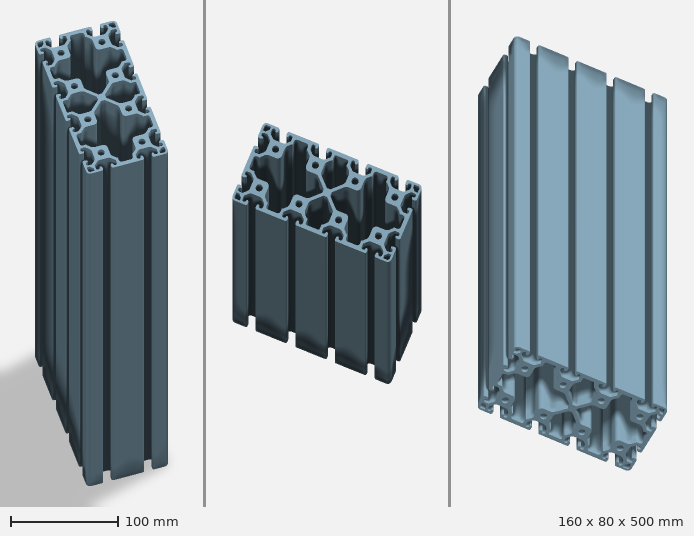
import cadquery as cq
import math

MODULE = 40.0
COLUMNS = 4
ROWS = 2
LENGTH = 500.0
WIDTH = COLUMNS * MODULE
DEPTH = ROWS * MODULE
HALF_MODULE = MODULE / 2
CORNER_RADIUS = 4.0

CORE_HALF = 7.75
CORE_BORE = 6.7
CORE_RADIUS = 4.0

SLOT_WEB_THICKNESS = 3.0
SLOT_WEB_SHIFT = SLOT_WEB_THICKNESS / math.sqrt(2)
NODE_WEB_THICKNESS = 3.1
NODE_WEB_SHIFT = NODE_WEB_THICKNESS / math.sqrt(2)
WEB_ROOT_RADIUS = 5.0
NODE_HALF = 4.0

SLOT_HALF = 4.1
SLOT_EDGE_RADIUS = 1.5
SLOT_FLOOR = HALF_MODULE - CORE_HALF
UNDERCUT_HALF = 10.3
FLOOR_RADIUS = 4.5
LIP_TIP = 5.0
LIP_TIP_CHAMFER = 1.0
LIP_HOOK_HALF = 6.5
LIP_ROOT = 2.4

SLOT_WALL = 2.7
OUTER_WALL = 4.0
THROAT_HALF = HALF_MODULE - CORE_HALF
END_CHAMBER_RADIUS = 2.7
SIDE_CHAMBER_RADIUS = 1.3
CHAMBER_STEP = 9.9

CORNER_WALL = 2.0
CORNER_HOLLOW_END = 7.9
CORNER_HOLLOW_RADIUS = 2.0
CORNER_HOLLOW_CHAMFER = 3.0

SELECTION_TOLERANCE = 0.1


def mirrored_prism(half_points):
    """Prism along Z, symmetric about X = 0, from the points of its +X half outline."""
    left_half = [(-x, y) for x, y in reversed(half_points)]
    return cq.Workplane("XY").polyline(half_points + left_half).close().extrude(LENGTH)


def near(x, y):
    """Selector for an edge along Z that passes through (x, y)."""
    reach = SELECTION_TOLERANCE
    return cq.selectors.BoxSelector((x - reach, y - reach, 0), (x + reach, y + reach, LENGTH))


def module_positions(count):
    """Module centres along one axis, symmetric about the origin."""
    return [(index - (count - 1) / 2) * MODULE for index in range(count)]


def slot_cutter():
    """T-slot whose mouth lies on Y = 0 and whose floor lies at negative Y."""
    diagonal_sum = HALF_MODULE - SLOT_WEB_SHIFT
    hook_middle = (LIP_HOOK_HALF + UNDERCUT_HALF) / 2
    hook_radius = (UNDERCUT_HALF - LIP_HOOK_HALF) / 2
    spring = LIP_ROOT + hook_radius
    outline = (
        cq.Workplane("XY")
        .lineTo(SLOT_HALF + SLOT_EDGE_RADIUS, 0)
        .radiusArc((SLOT_HALF, -SLOT_EDGE_RADIUS), -SLOT_EDGE_RADIUS)
        .lineTo(SLOT_HALF, LIP_TIP_CHAMFER - LIP_TIP)
        .lineTo(SLOT_HALF + LIP_TIP_CHAMFER, -LIP_TIP)
        .lineTo(LIP_HOOK_HALF, -LIP_TIP)
        .lineTo(LIP_HOOK_HALF, -spring)
        .threePointArc((hook_middle, -LIP_ROOT), (UNDERCUT_HALF, -spring))
        .lineTo(UNDERCUT_HALF, UNDERCUT_HALF - diagonal_sum)
        .lineTo(diagonal_sum - SLOT_FLOOR, -SLOT_FLOOR)
        .lineTo(0, -SLOT_FLOOR)
        .close()
    )
    half = outline.extrude(LENGTH)
    floor_corner = near(diagonal_sum - SLOT_FLOOR, -SLOT_FLOOR)
    half = half.edges("|Z").edges(floor_corner).fillet(FLOOR_RADIUS)
    return half.union(half.mirror("YZ"))


def wall_bay(reach, mouth_radius):
    """Chamber arm from an outer wall on Y = 0 inwards to Y = -reach, between two slots."""
    mouth_half = HALF_MODULE - UNDERCUT_HALF - SLOT_WALL
    step_half = CHAMBER_STEP - SLOT_WEB_SHIFT
    bay = mirrored_prism(
        [
            (mouth_half, -OUTER_WALL),
            (mouth_half, -CHAMBER_STEP),
            (step_half, -CHAMBER_STEP),
            (THROAT_HALF, -THROAT_HALF - SLOT_WEB_SHIFT),
            (THROAT_HALF, -reach),
        ]
    )
    for x in (-THROAT_HALF, THROAT_HALF):
        root = near(x, -THROAT_HALF - SLOT_WEB_SHIFT)
        bay = bay.edges("|Z").edges(root).fillet(WEB_ROOT_RADIUS)
    return bay.edges("|Z").edges(">Y").fillet(mouth_radius)


def node_bay(start):
    """Chamber arm from Y = start down to the node at the origin, between two diagonal webs."""
    bay = mirrored_prism(
        [
            (THROAT_HALF, start),
            (THROAT_HALF, THROAT_HALF + NODE_WEB_SHIFT),
            (NODE_HALF - NODE_WEB_SHIFT, NODE_HALF),
        ]
    )
    for x in (-THROAT_HALF, THROAT_HALF):
        root = near(x, THROAT_HALF + NODE_WEB_SHIFT)
        bay = bay.edges("|Z").edges(root).fillet(WEB_ROOT_RADIUS)
    return bay


def turned(body, angle):
    """Body turned about the Z axis by an angle in degrees."""
    return body.rotate((0, 0, 0), (0, 0, 1), angle)


def long_side_chamber():
    """Small chamber between the node and the middle of the +Y face."""
    outer_half = wall_bay(HALF_MODULE, SIDE_CHAMBER_RADIUS).translate((0, DEPTH / 2, 0))
    return outer_half.union(node_bay(HALF_MODULE))


def end_chamber():
    """Cross-shaped chamber at the -X end, centred between four cores."""
    middle_x = MODULE - WIDTH / 2
    bay = wall_bay(MODULE, END_CHAMBER_RADIUS)
    chamber = turned(node_bay(MODULE), 90)
    chamber = chamber.union(bay.translate((middle_x, DEPTH / 2, 0)))
    chamber = chamber.union(turned(bay, 180).translate((middle_x, -DEPTH / 2, 0)))
    chamber = chamber.union(turned(bay, 90).translate((-WIDTH / 2, 0, 0)))
    for x in (middle_x - THROAT_HALF, middle_x + THROAT_HALF):
        for y in (-THROAT_HALF, THROAT_HALF):
            chamber = chamber.edges("|Z").edges(near(x, y)).fillet(CORE_RADIUS)
    return chamber


def corner_hollow():
    """Hollow inside the (-X, -Y) corner."""
    size = CORNER_HOLLOW_END - CORNER_WALL
    start = (CORNER_WALL - WIDTH / 2, CORNER_WALL - DEPTH / 2)
    hollow = cq.Workplane("XY").rect(size, size, centered=False).extrude(LENGTH)
    hollow = hollow.edges("|Z").edges("<(1, 1, 0)").fillet(CORNER_HOLLOW_RADIUS)
    hollow = hollow.edges("|Z").edges(">(1, 1, 0)").chamfer(CORNER_HOLLOW_CHAMFER)
    return hollow.translate((*start, 0))


def extrusion():
    """Whole profile with its slots, chambers, corner hollows and core bores."""
    body = cq.Workplane("XY").rect(WIDTH, DEPTH).extrude(LENGTH)
    body = body.edges("|Z").fillet(CORNER_RADIUS)

    slot = slot_cutter()
    for x in module_positions(COLUMNS):
        body = body.cut(slot.translate((x, DEPTH / 2, 0)))
        body = body.cut(turned(slot, 180).translate((x, -DEPTH / 2, 0)))
    for y in module_positions(ROWS):
        body = body.cut(turned(slot, 90).translate((-WIDTH / 2, y, 0)))
        body = body.cut(turned(slot, -90).translate((WIDTH / 2, y, 0)))

    for chamber in (long_side_chamber(), end_chamber()):
        body = body.cut(chamber)
        body = body.cut(turned(chamber, 180))

    hollow = corner_hollow()
    for corner in (hollow, hollow.mirror("YZ")):
        body = body.cut(corner)
        body = body.cut(corner.mirror("XZ"))

    bores = (
        cq.Workplane("XY")
        .rarray(MODULE, MODULE, COLUMNS, ROWS)
        .circle(CORE_BORE / 2)
        .extrude(LENGTH)
    )
    return body.cut(bores)


result = extrusion()